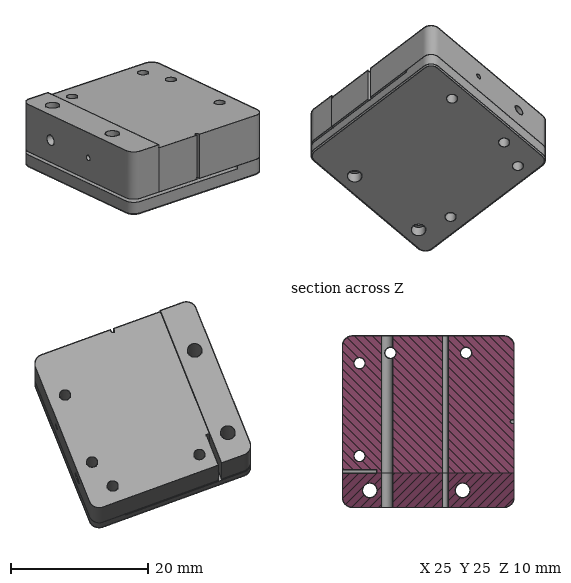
import cadquery as cq

SIDE = 25.0
HEIGHT = 10.0
CORNER_RADIUS = 1.5

FLOOR_HEIGHT = 2.0
GAP_HEIGHT = 0.5
STEP_HEIGHT = FLOOR_HEIGHT + GAP_HEIGHT
STEP_DEPTH = 5.0
STEP_FILLET = 0.1
BOTTOM_CHAMFER = 0.2

MAIN_TOP = 9.5
FRONT_DEPTH = 5.0

RELIEF_LENGTH = 5.0
RELIEF_WIDTH = 0.5

NOTCH_WIDTH = 0.5
NOTCH_DEPTH = 0.55
NOTCH_Y = SIDE / 2

EDGE_OFFSET = 2.5
SMALL_HOLE_DIAMETER = 1.6
SMALL_HOLE_POINTS = [
    (EDGE_OFFSET, 7.5),
    (EDGE_OFFSET, 21.0),
    (7.0, SIDE - EDGE_OFFSET),
    (18.0, SIDE - EDGE_OFFSET),
]
LARGE_HOLE_DIAMETER = 2.1
LARGE_HOLE_POINTS = [(4.0, EDGE_OFFSET), (17.5, EDGE_OFFSET)]

CROSS_HOLE_Z = 6.0
CROSS_HOLE_X = 6.5
CROSS_HOLE_DIAMETER = 1.6
PILOT_HOLE_X = 15.0
PILOT_HOLE_DIAMETER = 0.8


def box(x_range, y_range, z_range):
    """Box between the given limits on each axis."""
    size = [high - low for low, high in (x_range, y_range, z_range)]
    corner = (x_range[0], y_range[0], z_range[0])
    return cq.Workplane("XY").box(*size, centered=False).translate(corner)


def rounded_block(z_low, z_high):
    """Full square outline with rounded corners, between two heights."""
    return box((0, SIDE), (0, SIDE), (z_low, z_high)).edges("|Z").fillet(CORNER_RADIUS)


def drill_vertical(body, points, diameter):
    drills = cq.Workplane("XY").pushPoints(points).circle(diameter / 2).extrude(HEIGHT)
    return body.cut(drills)


def drill_small_holes(body):
    return drill_vertical(body, SMALL_HOLE_POINTS, SMALL_HOLE_DIAMETER)


def drill_large_holes(body):
    return drill_vertical(body, LARGE_HOLE_POINTS, LARGE_HOLE_DIAMETER)


def drill_cross_holes(body):
    """Drill both horizontal holes from the front face through to the back."""
    for x, diameter in ((CROSS_HOLE_X, CROSS_HOLE_DIAMETER), (PILOT_HOLE_X, PILOT_HOLE_DIAMETER)):
        drill = cq.Workplane("XZ").center(x, CROSS_HOLE_Z).circle(diameter / 2).extrude(-SIDE)
        body = body.cut(drill)
    return body


def make_base_plate():
    plate = rounded_block(0, STEP_HEIGHT).faces("<Z").edges().chamfer(BOTTOM_CHAMFER)
    gap = box((0, SIDE), (0, SIDE - STEP_DEPTH), (FLOOR_HEIGHT, STEP_HEIGHT))
    gap = gap.edges("|X and >Y and <Z").fillet(STEP_FILLET)
    return drill_large_holes(drill_small_holes(plate.cut(gap)))


def make_main_block():
    outline = rounded_block(STEP_HEIGHT, MAIN_TOP)
    block = outline.cut(box((0, SIDE), (0, FRONT_DEPTH), (0, HEIGHT)))
    relief_back = FRONT_DEPTH + RELIEF_WIDTH
    block = block.cut(box((0, RELIEF_LENGTH), (FRONT_DEPTH, relief_back), (0, HEIGHT)))
    slot = cq.Workplane("XY").center(SIDE, NOTCH_Y).slot2D(2 * NOTCH_DEPTH, NOTCH_WIDTH)
    notch = slot.extrude(HEIGHT)
    return drill_cross_holes(drill_small_holes(block.cut(notch)))


def make_front_block():
    outline = rounded_block(STEP_HEIGHT, HEIGHT)
    block = outline.intersect(box((0, SIDE), (0, FRONT_DEPTH), (0, HEIGHT)))
    return drill_cross_holes(drill_large_holes(block))


base_plate = make_base_plate()
main_block = make_main_block()
front_block = make_front_block()

result = cq.Compound.makeCompound([base_plate.val(), main_block.val(), front_block.val()])